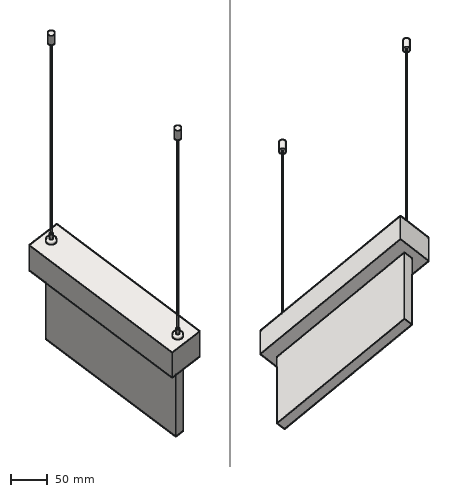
import cadquery as cq

HOUSING_LENGTH = 275.0
HOUSING_WIDTH = 54.0
HOUSING_HEIGHT = 53.0

PANEL_LENGTH = 250.0
PANEL_THICKNESS = 14.5
PANEL_HEIGHT = 150.0

SUSPENSION_SPACING = 243.0
FLANGE_DIAMETER = 15.0
FLANGE_HEIGHT = 5.0
FLANGE_FILLET = 3.0
SLEEVE_DIAMETER = 5.0
SLEEVE_HEIGHT = 10.0
WIRE_DIAMETER = 2.5
WIRE_LENGTH = 400.0
FERRULE_DIAMETER = 10.0
FERRULE_HEIGHT = 20.0

HOUSING_BOTTOM = PANEL_HEIGHT
HOUSING_TOP = HOUSING_BOTTOM + HOUSING_HEIGHT
SLEEVE_BOTTOM = HOUSING_TOP + FLANGE_HEIGHT
WIRE_BOTTOM = SLEEVE_BOTTOM + SLEEVE_HEIGHT
FERRULE_BOTTOM = WIRE_BOTTOM + WIRE_LENGTH


def centred_box(length, width, height, bottom):
    """Box centred in X and Y that rises from the given level."""
    return cq.Workplane("XY").workplane(offset=bottom).rect(length, width).extrude(height)


def upright_cylinder(x, diameter, height, bottom):
    """Vertical cylinder in the XZ mid-plane that rises from the given level."""
    return cq.Workplane("XY").workplane(offset=bottom).center(x, 0).circle(diameter / 2).extrude(height)


def suspension(x):
    """One wire assembly, from the flange on the housing up to the end ferrule."""
    flange = upright_cylinder(x, FLANGE_DIAMETER, FLANGE_HEIGHT, HOUSING_TOP)
    flange = flange.faces(">Z").edges().fillet(FLANGE_FILLET)
    sleeve = upright_cylinder(x, SLEEVE_DIAMETER, SLEEVE_HEIGHT, SLEEVE_BOTTOM)
    wire = upright_cylinder(x, WIRE_DIAMETER, WIRE_LENGTH, WIRE_BOTTOM)
    ferrule = upright_cylinder(x, FERRULE_DIAMETER, FERRULE_HEIGHT, FERRULE_BOTTOM)
    return flange.union(sleeve).union(wire).union(ferrule)


panel = centred_box(PANEL_LENGTH, PANEL_THICKNESS, PANEL_HEIGHT, 0)
housing = centred_box(HOUSING_LENGTH, HOUSING_WIDTH, HOUSING_HEIGHT, HOUSING_BOTTOM)

result = housing.union(panel)
for side in (-1, 1):
    result = result.union(suspension(side * SUSPENSION_SPACING / 2))